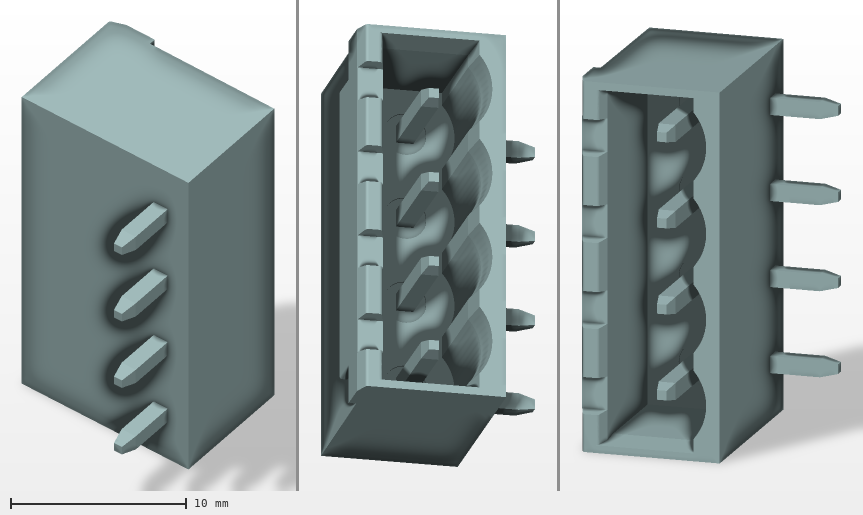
import cadquery as cq
import math

LENGTH = 21.92
DEPTH_X = 12.0
LIP_Y = 8.5
BACK_Y_LIP = 8.07
BACK_Y_END = 8.0

CONTACT_COUNT = 4
PITCH = 5.09
FIRST_Z = (LENGTH - (CONTACT_COUNT - 1) * PITCH) / 2
CONTACT_Z = [FIRST_Z + i * PITCH for i in range(CONTACT_COUNT)]
CONTACT_Y = 3.9
PIN_SIZE = 1.0
PIN_TIP_SIZE = 0.57
PIN_TAPER = 1.0
PIN_TIP_X = 1.4
LEG_X = 10.0
LEG_LENGTH = 4.0

CAVITY_DEPTH = 8.5
LEAD_IN_DEPTH = 2.0
END_WALL = 0.65
FRONT_WALL = 1.75
LOBE_RADIUS = 2.9
LEAD_IN = 0.2
CAVITY_BACK_Y = 7.0
BACK_LEAD_IN_DEPTH = 0.88
BACK_LEAD_IN = 0.28
SOCKET_DIAMETER = 2.48
SOCKET_DEPTH = 0.1

LIP_END_LENGTH = 3.0
LIP_MIDDLE_LENGTH = 5.35
LIP_BEVEL_X = 0.96
LIP_BEVEL_Y = 0.33
EDGE_RADIUS = 0.2
LIP_EDGE_RADIUS = 0.13
NOTCH_DEPTH = 0.88
NOTCH_FLOOR = 1.97
NOTCH_MOUTH = 2.2
NOTCH_BOTTOM_Y = 5.48


def frustum_x(x0, rect0, x1, rect1):
    """Solid between two rectangles (y_min, y_max, z_min, z_max) lying at x0 and x1."""
    wires = []
    for x, (y_min, y_max, z_min, z_max) in ((x0, rect0), (x1, rect1)):
        corners = [(x, y_min, z_min), (x, y_max, z_min), (x, y_max, z_max), (x, y_min, z_max)]
        wires.append(cq.Wire.makePolygon([cq.Vector(*c) for c in corners], close=True))
    return cq.Workplane(cq.Solid.makeLoft(wires, True))


def housing():
    """Block with the bevelled lip along its back edge."""
    outline = [
        (0, 0),
        (DEPTH_X, 0),
        (DEPTH_X, BACK_Y_END),
        (LIP_END_LENGTH, BACK_Y_LIP),
        (LIP_END_LENGTH, LIP_Y),
        (LIP_BEVEL_X, LIP_Y),
        (0, LIP_Y - LIP_BEVEL_Y),
    ]
    block = cq.Workplane("XY").polyline(outline).close().extrude(LENGTH)
    mouth_edge = cq.selectors.NearestToPointSelector((0, LIP_Y - LIP_BEVEL_Y, LENGTH / 2))
    return block.edges(mouth_edge).fillet(EDGE_RADIUS)


def middle_lip():
    """Longer stretch of the lip, spanning all the notches."""
    half_span = (CONTACT_Z[-1] - CONTACT_Z[0] + NOTCH_MOUTH) / 2
    length = LIP_MIDDLE_LENGTH - NOTCH_DEPTH
    height = LIP_Y - CAVITY_BACK_Y
    bar = (
        cq.Workplane("XY")
        .box(length, height, 2 * half_span, centered=(False, False, True))
        .edges(">X or >Y").edges("not(<X or <Y)")
        .fillet(LIP_EDGE_RADIUS)
    )
    return bar.translate((NOTCH_DEPTH, CAVITY_BACK_Y, LENGTH / 2))


def cavity_outline(x, opening):
    """Closed cavity outline at x, with all walls but the back one moved out by opening."""
    front_y = FRONT_WALL - opening
    radius = LOBE_RADIUS + opening
    half_chord = math.sqrt(radius**2 - (CONTACT_Y - front_y) ** 2)
    z_min = END_WALL - opening
    z_max = LENGTH - z_min
    outline = (
        cq.Workplane("YZ", origin=(x, 0, 0))
        .moveTo(CAVITY_BACK_Y, z_max)
        .lineTo(CAVITY_BACK_Y, z_min)
        .lineTo(front_y, z_min)
    )
    for z in CONTACT_Z:
        outline = (
            outline.lineTo(front_y, z - half_chord)
            .threePointArc((CONTACT_Y - radius, z), (front_y, z + half_chord))
        )
    return outline.lineTo(front_y, z_max).close()


def cavity():
    """Lobed plug cavity with a flared mouth."""
    deep = cavity_outline(0, 0).extrude(CAVITY_DEPTH)
    mouth_wire = cavity_outline(0, LEAD_IN).val()
    deep_wire = cavity_outline(LEAD_IN_DEPTH, 0).val()
    flare = cq.Workplane(cq.Solid.makeLoft([mouth_wire, deep_wire], True))
    return deep.union(flare)


def back_lead_in():
    """Steeper flare of the back cavity wall, as wide as the cavity flare."""
    inset_mouth = END_WALL - LEAD_IN
    inset_deep = inset_mouth + LEAD_IN * BACK_LEAD_IN_DEPTH / LEAD_IN_DEPTH
    return frustum_x(
        0,
        (CONTACT_Y, CAVITY_BACK_Y + BACK_LEAD_IN, inset_mouth, LENGTH - inset_mouth),
        BACK_LEAD_IN_DEPTH,
        (CONTACT_Y, CAVITY_BACK_Y, inset_deep, LENGTH - inset_deep),
    )


def lip_notch(z):
    """Notch through the lip wall, with drafted sides."""
    return frustum_x(
        0,
        (NOTCH_BOTTOM_Y, LIP_Y, z - NOTCH_MOUTH / 2, z + NOTCH_MOUTH / 2),
        NOTCH_DEPTH,
        (NOTCH_BOTTOM_Y, LIP_Y, z - NOTCH_FLOOR / 2, z + NOTCH_FLOOR / 2),
    )


def tapered_pin(length):
    """Square pin along +Z from the origin, with a tapered tip."""
    shank = cq.Workplane("XY").rect(PIN_SIZE, PIN_SIZE).extrude(length - PIN_TAPER)
    tip = (
        shank.faces(">Z").workplane().rect(PIN_SIZE, PIN_SIZE)
        .workplane(offset=PIN_TAPER).rect(PIN_TIP_SIZE, PIN_TIP_SIZE)
        .loft(combine=False)
    )
    return shank.union(tip)


body = housing().cut(cavity()).cut(back_lead_in())
inner_mouth_edge = cq.selectors.NearestToPointSelector((0, CAVITY_BACK_Y + BACK_LEAD_IN, LENGTH / 2))
body = body.edges(inner_mouth_edge).fillet(EDGE_RADIUS)
body = body.union(middle_lip())

socket_floor_x = CAVITY_DEPTH + SOCKET_DEPTH
contact_pin = tapered_pin(socket_floor_x - PIN_TIP_X).rotate((0, 0, 0), (0, 1, 0), -90)
solder_leg = tapered_pin(LEG_LENGTH).rotate((0, 0, 0), (1, 0, 0), 90)
socket = cq.Workplane("YZ").circle(SOCKET_DIAMETER / 2).extrude(socket_floor_x)

for z in CONTACT_Z:
    body = body.cut(lip_notch(z))
    body = body.cut(socket.translate((0, CONTACT_Y, z)))
    body = body.union(contact_pin.translate((socket_floor_x, CONTACT_Y, z)))
    body = body.union(solder_leg.translate((LEG_X, 0, z)))

result = body